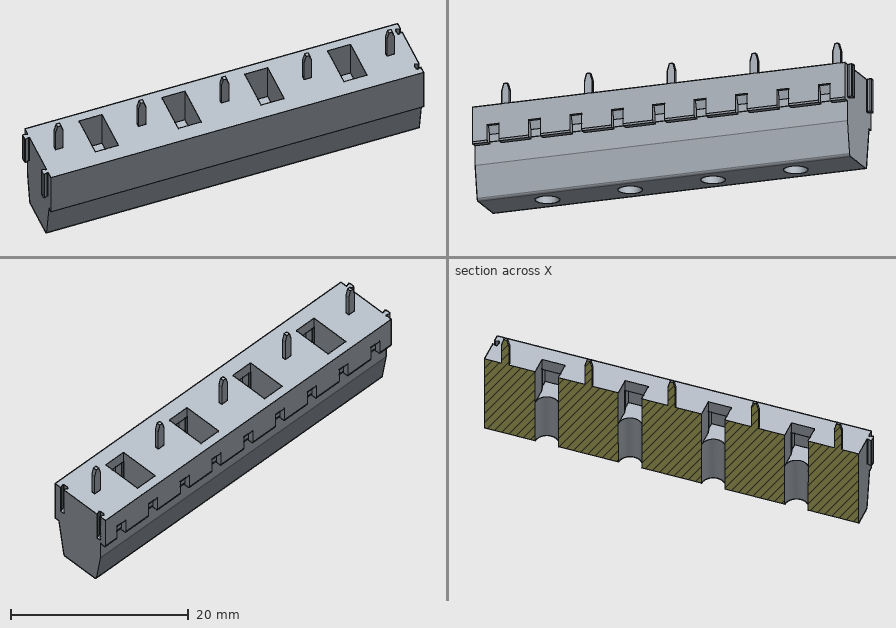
import cadquery as cq

pole_count = 9
rail_length = 0.6
overall_length = 45.6
body_length = overall_length - rail_length
pole_pitch = body_length / pole_count
body_height = 10.62
half_width = 4.05

left_wall_x = -3.25
ledge_z = 6.3
ledge_bevel_z = 6.5
ledge_bevel_depth = 0.1
knee_z = 3.95
right_step_x = 3.45
right_step_z = 5.0
foot_left_x = -2.55
foot_right_x = 2.65
foot_radius = 0.3

notch_width = 1.4
notch_top_z = 8.35
notch_shelf_x = -3.65
notch_ramp_z = 7.4
notch_wall_x = -3.35
notch_wall_z = 6.5

hole_diameter = 2.8
pocket_width = hole_diameter
pocket_min_x = -2.95
pocket_max_x = 2.15
pocket_floor_z = 5.95
recess_top_z = 9.1
recess_steps = [(0.4, 2.95), (1.5, 3.15)]

pin_top_z = 14.3
pin_thickness = 0.45
pin_width = 0.9
pin_tip_width = 0.4
pin_taper = 0.85

dovetail_x = 2.9
dovetail_bottom_z = 6.8
neck_width = 0.55
head_width = 0.8
neck_length = 0.15
head_widest = 0.5
tip_width = neck_width

pole_ys = [(i + 0.5) * pole_pitch for i in range(pole_count)]
pin_ys = pole_ys[0::2]
pocket_ys = pole_ys[1::2]


def make_body():
    """Constant cross-section extruded from y = 0 to y = body_length."""
    outline = [
        (-half_width, body_height),
        (-half_width, ledge_bevel_z),
        (-half_width + ledge_bevel_depth, ledge_z),
        (left_wall_x, ledge_z),
        (left_wall_x, knee_z),
        (foot_left_x, 0),
        (foot_right_x, 0),
        (right_step_x, right_step_z),
        (half_width, right_step_z),
        (half_width, body_height),
    ]
    body = cq.Workplane("XZ").polyline(outline).close().extrude(-body_length)
    return body.faces("<Z").edges("|Y").fillet(foot_radius)


def make_notch(y):
    """Cut in the -X wall with a ramped back, open through the ledge."""
    outline = [
        (-half_width, notch_top_z),
        (notch_shelf_x, notch_top_z),
        (notch_wall_x, notch_ramp_z),
        (notch_wall_x, notch_wall_z),
        (left_wall_x, notch_wall_z),
        (left_wall_x, ledge_z),
        (-half_width, ledge_z),
    ]
    notch = cq.Workplane("XZ").polyline(outline).close().extrude(-notch_width)
    return notch.translate((0, y - notch_width / 2, 0))


def box(x_range, y_width, z_range):
    """Box over the given X and Z ranges, centred on y = 0."""
    x_low, x_high = x_range
    z_low, z_high = z_range
    block = cq.Workplane("XY").box(x_high - x_low, y_width, z_high - z_low, centered=(False, True, False))
    return block.translate((x_low, 0, z_low))


def make_pocket(y):
    """Rectangular pocket with a through hole in its floor and a stepped recess."""
    pocket = box((pocket_min_x, pocket_max_x), pocket_width, (pocket_floor_z, body_height))
    hole = cq.Workplane("XY").circle(hole_diameter / 2).extrude(body_height)
    pocket = pocket.union(hole)
    step_start = 0
    for step_end, width in recess_steps:
        x_range = (pocket_max_x + step_start, pocket_max_x + step_end)
        pocket = pocket.union(box(x_range, width, (pocket_floor_z, recess_top_z)))
        step_start = step_end
    return pocket.translate((0, y, 0))


def make_pin(y):
    """Flat pin standing on the top face, tapered to a narrow tip."""
    taper_z = pin_top_z - pin_taper
    outline = [
        (-pin_width / 2, body_height),
        (-pin_width / 2, taper_z),
        (-pin_tip_width / 2, pin_top_z),
        (pin_tip_width / 2, pin_top_z),
        (pin_width / 2, taper_z),
        (pin_width / 2, body_height),
    ]
    pin = cq.Workplane("YZ").polyline(outline).close().extrude(pin_thickness / 2, both=True)
    return pin.translate((0, y, 0))


def make_dovetail(x, y):
    """Upright bar with a straight neck from y and a flared head towards -Y."""
    outline = [
        (-neck_width / 2, 0),
        (-neck_width / 2, -neck_length),
        (-head_width / 2, -head_widest),
        (-tip_width / 2, -rail_length),
        (tip_width / 2, -rail_length),
        (head_width / 2, -head_widest),
        (neck_width / 2, -neck_length),
        (neck_width / 2, 0),
    ]
    bar = cq.Workplane("XY").polyline(outline).close().extrude(body_height - dovetail_bottom_z)
    return bar.translate((x, y, dovetail_bottom_z))


result = make_body()
for pole_y in pole_ys:
    result = result.cut(make_notch(pole_y))
for pocket_y in pocket_ys:
    result = result.cut(make_pocket(pocket_y))
for pin_y in pin_ys:
    result = result.union(make_pin(pin_y))
for rail_x in (-dovetail_x, dovetail_x):
    result = result.union(make_dovetail(rail_x, 0))
    result = result.cut(make_dovetail(rail_x, body_length))